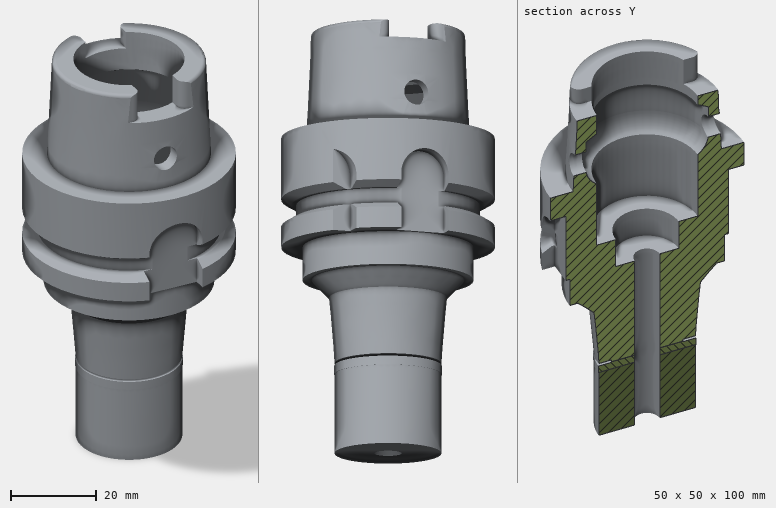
import cadquery as cq
import math

TAPER_TOP = 25.0
GROOVE_TOP = -16.0
FLANGE_BOTTOM = -26.0
HUB_BOTTOM = -33.8
CONE_BOTTOM = -38.0
STEM_BOTTOM = -53.6
COLLAR_TOP = -54.2
COLLAR_BOTTOM = -56.3
OVERALL_LENGTH = 100.0
SHANK_BOTTOM = TAPER_TOP - OVERALL_LENGTH

TAPER_BASE_RADIUS = 19.2
TAPER_TOP_RADIUS = 18.0
TAPER_RIM_FILLET = 0.9
FLANGE_RADIUS = 25.0
HUB_RADIUS = 20.0
CONE_TOP_RADIUS = 17.9
STEM_TOP_RADIUS = 13.8
STEM_BOTTOM_RADIUS = 12.5
NECK_RADIUS = 9.3
COLLAR_RADIUS = 12.6
SHANK_RADIUS = 12.5

GROOVE_RADIUS = 21.5
GROOVE_LIP_RADIUS = 22.6
GROOVE_WIDTH = 3.7
GROOVE_FLANK_HEIGHT = 1.4

COOLANT_RADIUS = 3.2
BORE_RADIUS = 13.0
CAVITY_RADIUS = 15.7
CAVITY_LIP = 15.1
CAVITY_BOTTOM = 5.3
CAVITY_LIP_SLOPE = math.radians(30)
SHOULDER_ARC_RADIUS = 6.0
BORE_FLOOR = -18.0
COUNTERBORE_RADIUS = 8.1
COUNTERBORE_DEPTH = 8.0

RIM_SLOT_HALF_WIDTH = 5.3
RIM_SLOT_FLARE = 2.0
RIM_SLOT_FLARE_END = 16.2
RIM_SLOT_FLOOR_LEFT = 20.7
RIM_SLOT_FLOOR_RIGHT = 17.8

CROSS_HOLE_RADIUS = 3.0
CROSS_HOLE_HEIGHT = 7.6

KEYWAY_TOP = -6.9
KEYWAY_FLOOR = 21.0
LEFT_KEYWAY_HALF_WIDTH = 5.9
RIGHT_KEYWAY_HALF_WIDTH = 7.0
NOTCH_FLOOR = 15.5
NOTCH_SIDE = 15.4
NOTCH_HALF_WIDTH = 7.0
NOTCH_TOP = -6.1


def drilled_disc(radius, bottom, top):
    """Cylinder on the Z axis between two heights, pierced by the coolant hole."""
    base = cq.Workplane("XY").workplane(offset=bottom)
    return base.circle(radius).circle(COOLANT_RADIUS).extrude(top - bottom)


def holder_blank():
    """Turned outside of the holder, from the neck up to the rounded taper rim."""
    groove_bottom = GROOVE_TOP - GROOVE_WIDTH
    profile = [
        (0, COLLAR_TOP),
        (NECK_RADIUS, COLLAR_TOP),
        (NECK_RADIUS, STEM_BOTTOM),
        (STEM_BOTTOM_RADIUS, STEM_BOTTOM),
        (STEM_TOP_RADIUS, CONE_BOTTOM),
        (CONE_TOP_RADIUS, HUB_BOTTOM),
        (HUB_RADIUS, HUB_BOTTOM),
        (HUB_RADIUS, FLANGE_BOTTOM),
        (FLANGE_RADIUS, FLANGE_BOTTOM),
        (FLANGE_RADIUS, groove_bottom - GROOVE_FLANK_HEIGHT),
        (GROOVE_LIP_RADIUS, groove_bottom),
        (GROOVE_RADIUS, groove_bottom),
        (GROOVE_RADIUS, GROOVE_TOP),
        (GROOVE_LIP_RADIUS, GROOVE_TOP),
        (FLANGE_RADIUS, GROOVE_TOP + GROOVE_FLANK_HEIGHT),
        (FLANGE_RADIUS, 0),
        (TAPER_BASE_RADIUS, 0),
        (TAPER_TOP_RADIUS, TAPER_TOP),
        (0, TAPER_TOP),
    ]
    blank = cq.Workplane("YZ").polyline(profile).close().revolve(360, (0, 0), (0, 1))
    return blank.faces(">Z").edges().fillet(TAPER_RIM_FILLET)


def bore():
    """Hollow of the taper: undercut cavity with a rounded shoulder, counterbore and coolant hole."""
    undercut = CAVITY_RADIUS - BORE_RADIUS
    lip_height = undercut * math.tan(CAVITY_LIP_SLOPE)
    shoulder_centre = CAVITY_RADIUS - SHOULDER_ARC_RADIUS
    arc_angle = math.acos((BORE_RADIUS - shoulder_centre) / SHOULDER_ARC_RADIUS)
    arc_end = (BORE_RADIUS, CAVITY_BOTTOM - SHOULDER_ARC_RADIUS * math.sin(arc_angle))
    arc_middle = (
        shoulder_centre + SHOULDER_ARC_RADIUS * math.cos(arc_angle / 2),
        CAVITY_BOTTOM - SHOULDER_ARC_RADIUS * math.sin(arc_angle / 2),
    )
    counterbore_floor = BORE_FLOOR - COUNTERBORE_DEPTH
    return (
        cq.Workplane("YZ")
        .moveTo(0, COLLAR_TOP)
        .lineTo(COOLANT_RADIUS, COLLAR_TOP)
        .lineTo(COOLANT_RADIUS, counterbore_floor)
        .lineTo(COUNTERBORE_RADIUS, counterbore_floor)
        .lineTo(COUNTERBORE_RADIUS, BORE_FLOOR)
        .lineTo(BORE_RADIUS, BORE_FLOOR)
        .lineTo(*arc_end)
        .threePointArc(arc_middle, (CAVITY_RADIUS, CAVITY_BOTTOM))
        .lineTo(CAVITY_RADIUS, CAVITY_LIP - lip_height)
        .lineTo(BORE_RADIUS, CAVITY_LIP)
        .lineTo(BORE_RADIUS, TAPER_TOP)
        .lineTo(0, TAPER_TOP)
        .close()
        .revolve(360, (0, 0), (0, 1))
    )


def rim_slot(side, floor):
    """Drive slot in the taper rim on the +X (side = 1) or -X (side = -1) side, with a flared mouth."""
    flare_start = RIM_SLOT_FLARE_END - RIM_SLOT_FLARE
    flare_half_width = RIM_SLOT_HALF_WIDTH + RIM_SLOT_FLARE
    arc_inset = RIM_SLOT_FLARE * math.sqrt(0.5)
    arc_x = flare_start + arc_inset
    arc_y = flare_half_width - arc_inset
    mouth_half_width = FLANGE_RADIUS / 2
    return (
        cq.Workplane("XY")
        .workplane(offset=floor)
        .moveTo(0, -RIM_SLOT_HALF_WIDTH)
        .lineTo(side * flare_start, -RIM_SLOT_HALF_WIDTH)
        .threePointArc((side * arc_x, -arc_y), (side * RIM_SLOT_FLARE_END, -flare_half_width))
        .lineTo(side * RIM_SLOT_FLARE_END, -mouth_half_width)
        .lineTo(side * FLANGE_RADIUS, -mouth_half_width)
        .lineTo(side * FLANGE_RADIUS, mouth_half_width)
        .lineTo(side * RIM_SLOT_FLARE_END, mouth_half_width)
        .lineTo(side * RIM_SLOT_FLARE_END, flare_half_width)
        .threePointArc((side * arc_x, arc_y), (side * flare_start, RIM_SLOT_HALF_WIDTH))
        .lineTo(0, RIM_SLOT_HALF_WIDTH)
        .close()
        .extrude(TAPER_TOP - floor)
    )


def cross_holes():
    """Pair of opposite radial holes, made by one cylinder along X."""
    return (
        cq.Workplane("YZ")
        .center(0, CROSS_HOLE_HEIGHT)
        .circle(CROSS_HOLE_RADIUS)
        .extrude(FLANGE_RADIUS, both=True)
    )


def round_topped_slot(side, floor, centre_y, half_width, top):
    """Slot milled along X into the flange, open at the bottom and half-round at the top."""
    arc_centre = top - half_width
    return (
        cq.Workplane("YZ")
        .workplane(offset=side * floor)
        .moveTo(centre_y - half_width, FLANGE_BOTTOM)
        .lineTo(centre_y - half_width, arc_centre)
        .threePointArc((centre_y, top), (centre_y + half_width, arc_centre))
        .lineTo(centre_y + half_width, FLANGE_BOTTOM)
        .close()
        .extrude(side * (FLANGE_RADIUS - floor))
    )


def make_holder():
    """Holder with its turned outside, bore, slots and cross holes."""
    left_keyway = round_topped_slot(-1, KEYWAY_FLOOR, 0, LEFT_KEYWAY_HALF_WIDTH, KEYWAY_TOP)
    right_keyway = round_topped_slot(1, KEYWAY_FLOOR, 0, RIGHT_KEYWAY_HALF_WIDTH, KEYWAY_TOP)
    notch_centre = NOTCH_SIDE + NOTCH_HALF_WIDTH
    notch = round_topped_slot(-1, NOTCH_FLOOR, notch_centre, NOTCH_HALF_WIDTH, NOTCH_TOP)
    return (
        holder_blank()
        .cut(bore())
        .cut(rim_slot(-1, RIM_SLOT_FLOOR_LEFT))
        .cut(rim_slot(1, RIM_SLOT_FLOOR_RIGHT))
        .cut(cross_holes())
        .cut(left_keyway)
        .cut(right_keyway)
        .cut(notch)
    )


def make_collar():
    """Thin ring, slightly proud of the shank, between the holder neck and the shank."""
    return drilled_disc(COLLAR_RADIUS, COLLAR_BOTTOM, COLLAR_TOP)


def make_shank():
    """Plain cylinder at the lower end."""
    return drilled_disc(SHANK_RADIUS, SHANK_BOTTOM, COLLAR_BOTTOM)


holder = make_holder()
collar = make_collar()
shank = make_shank()

result = cq.Compound.makeCompound([holder.val(), collar.val(), shank.val()])